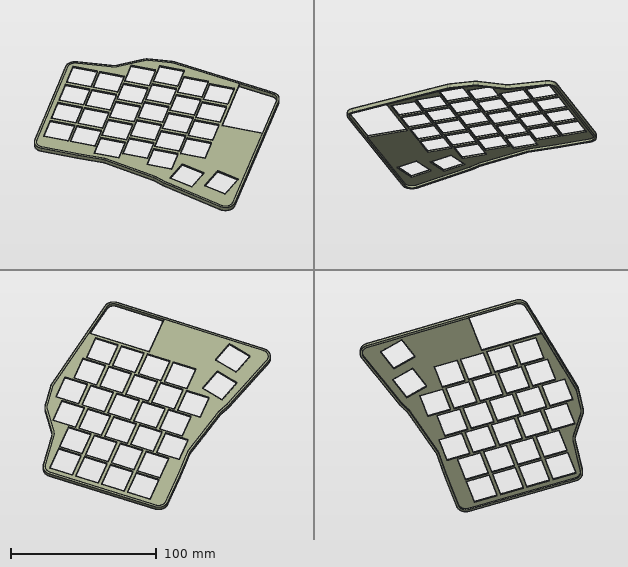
import cadquery as cq

RIM_HEIGHT = 3.0
RIM_WIDTH = 1.5
CORNER_RADIUS = 6.7
HALF_LENGTH = 75.0

PLATE_THICKNESS = 1.3
PLATE_BOTTOM = RIM_HEIGHT - PLATE_THICKNESS

RIGHT_SIDE_LEAN = 0.03

OUTLINE = [
    (-HALF_LENGTH, -42.9),
    (-42.6, -42.9),
    (-23.7, -42.3),
    (14.2, -50.4),
    (21.7, -53.5),
    (74.4, -68.5),
    (HALF_LENGTH + RIGHT_SIDE_LEAN, 54.1),
    (-5.4, 66.5),
    (-24.1, 64.0),
    (-42.7, 51.3),
    (-HALF_LENGTH, 47.2),
]

WINDOW_LENGTH = 17.5
WINDOW_WIDTH = 16.5
WINDOWS_LEFT = -70.2
FIRST_COLUMN_TOP = 42.9
FIRST_KEY_X = WINDOWS_LEFT + WINDOW_LENGTH / 2
FIRST_KEY_Y = FIRST_COLUMN_TOP - WINDOW_WIDTH / 2
COLUMN_SPAN = 95.0
COLUMNS = [(0.0, 4), (0.0, 4), (12.0, 5), (17.0, 5), (11.0, 5), (8.8, 4)]
KEY_PITCH = COLUMN_SPAN / (len(COLUMNS) - 1)

THUMB_KEYS = [(35.2, -41.8, -15.0), (59.8, -42.1, 75.0)]

BAY_LEFT = 44.4
BAY_BOTTOM = 13.3


def outer_wire():
    """Rim outline with all its corners rounded."""
    sharp = cq.Wire.makePolygon([cq.Vector(x, y) for x, y in OUTLINE], close=True)
    return sharp.fillet2D(CORNER_RADIUS, sharp.Vertices())


def inner_wire():
    """Outline of the plate, which is also the inside of the rim."""
    return outer_wire().offset2D(-RIM_WIDTH)[0]


def prism(wire, bottom, height):
    """Upright solid with the given outline."""
    solid = cq.Solid.extrudeLinear(wire, [], cq.Vector(0, 0, height))
    return cq.Workplane("XY").add(solid.translate(cq.Vector(0, 0, bottom)))


def key_window(x, y, turn=0.0):
    """Cutter for one switch window, going through the plate."""
    window = cq.Workplane("XY").box(WINDOW_LENGTH, WINDOW_WIDTH, RIM_HEIGHT, centered=(True, True, False))
    return window.rotate((0, 0, 0), (0, 0, 1), turn).translate((x, y, 0))


def make_rim():
    """Frame of full height around the plate."""
    return prism(outer_wire(), 0, RIM_HEIGHT).cut(prism(inner_wire(), 0, RIM_HEIGHT))


def make_plate():
    """Switch plate that fills the rim except for the open bay."""
    plate = prism(inner_wire(), PLATE_BOTTOM, PLATE_THICKNESS)

    bay = cq.Workplane("XY").box(HALF_LENGTH, HALF_LENGTH, RIM_HEIGHT, centered=False)
    plate = plate.cut(bay.translate((BAY_LEFT, BAY_BOTTOM, 0)))

    for column, (stagger, key_count) in enumerate(COLUMNS):
        for row in range(key_count):
            x = FIRST_KEY_X + column * KEY_PITCH
            y = FIRST_KEY_Y + stagger - row * KEY_PITCH
            plate = plate.cut(key_window(x, y))

    for x, y, turn in THUMB_KEYS:
        plate = plate.cut(key_window(x, y, turn))
    return plate


rim = make_rim()
plate = make_plate()

result = cq.Compound.makeCompound([rim.val(), plate.val()])